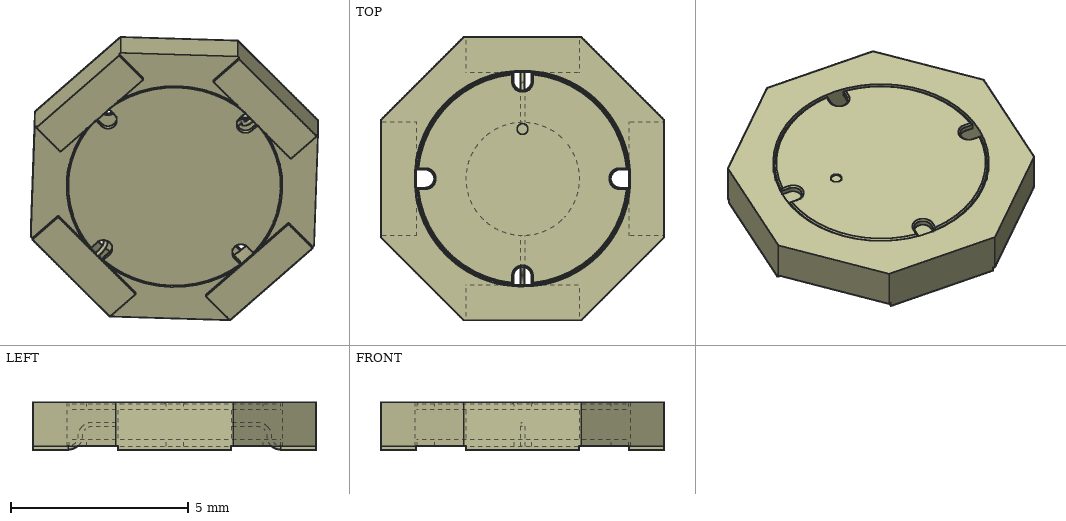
import cadquery as cq
import math

width = 8.0
height = 1.35

side_count = 8
bore_diameter = 6.1
pad_length = 1.0
pad_width = 3.2
pad_thickness = 0.11

flange_diameter = 6.0
flange_thickness = 0.2
post_diameter = 3.2
rim_chamfer = 0.05
slot_width = 0.5
slot_inner_reach = 2.5
dot_diameter = 0.3
dot_offset = 1.4
dot_depth = 0.05

wire_diameter = 0.12
wire_bottom = 0.01

main_side_angles = (0, 90, 180, 270)
wire_angles = (90, 270)
pad_inner_edge = width / 2 - pad_length
body_height = height - pad_thickness
wire_low = wire_bottom + wire_diameter / 2
wire_high = pad_thickness + body_height / 2
wire_bend = (wire_high - wire_low) / 2


def turn(part, angle):
    """Turn a part about the Z axis."""
    return part.rotate((0, 0, 0), (0, 0, 1), angle)


def make_disc(diameter, thickness, bottom):
    """Plain disc on the Z axis with its lower face at the given level."""
    return cq.Workplane("XY").workplane(offset=bottom).circle(diameter / 2).extrude(thickness)


def make_pad(angle):
    """Flat terminal under one main side of the octagon, its outer face flush with that side."""
    pad = cq.Workplane("XY").box(pad_length, pad_width, pad_thickness, centered=(False, True, False))
    return turn(pad.translate((pad_inner_edge, 0, 0)), angle)


def make_ring():
    """Octagonal shield with a round bore, standing on four terminal pads."""
    half_step = 180 / side_count
    corner_diameter = width / math.cos(math.radians(half_step))
    octagon = (
        cq.Workplane("XY")
        .workplane(offset=pad_thickness)
        .polygon(side_count, corner_diameter)
        .extrude(body_height)
    )
    ring = turn(octagon, half_step)
    ring = ring.cut(make_disc(bore_diameter, body_height, pad_thickness))
    for angle in main_side_angles:
        ring = ring.union(make_pad(angle))
    return ring.clean()


def make_slot(angle):
    """Cutter for a round-ended slot that opens at the flange rim and runs the full height."""
    radius = slot_width / 2
    arc_center = slot_inner_reach + radius
    mouth = bore_diameter / 2
    slot = (
        cq.Workplane("XY")
        .moveTo(mouth, -radius)
        .lineTo(arc_center, -radius)
        .threePointArc((slot_inner_reach, 0), (arc_center, radius))
        .lineTo(mouth, radius)
        .close()
        .extrude(height)
    )
    return turn(slot, angle)


def make_wire(angle):
    """Round wire that leaves the post level, bends down through a slot and ends at a pad."""
    arc_middle = wire_bend * math.sqrt(0.5)
    upright = pad_inner_edge - wire_bend
    middle = wire_low + wire_bend
    bend_top = upright - wire_bend
    rooted_end = post_diameter / 2 - wire_diameter
    path = (
        cq.Workplane("XZ")
        .moveTo(pad_inner_edge, wire_low)
        .threePointArc((pad_inner_edge - arc_middle, middle - arc_middle), (upright, middle))
        .threePointArc((bend_top + arc_middle, middle + arc_middle), (bend_top, wire_high))
        .lineTo(rooted_end, wire_high)
    )
    wire = (
        cq.Workplane("YZ", origin=(pad_inner_edge, 0, wire_low))
        .circle(wire_diameter / 2)
        .sweep(path)
    )
    return turn(wire, angle)


def make_drum():
    """Core with two slotted flanges on a post, an index dot on top and two wire ends."""
    drum = make_disc(post_diameter, body_height, pad_thickness)
    for flange_bottom in (pad_thickness, height - flange_thickness):
        drum = drum.union(make_disc(flange_diameter, flange_thickness, flange_bottom))
    for angle in main_side_angles:
        drum = drum.cut(make_slot(angle))

    drum = drum.faces(">Z").chamfer(rim_chamfer)

    dot = make_disc(dot_diameter, dot_depth, height - dot_depth)
    drum = drum.cut(dot.translate((0, dot_offset, 0)))

    for angle in wire_angles:
        drum = drum.union(make_wire(angle))
    return drum


ring = make_ring()
drum = make_drum()
result = cq.Compound.makeCompound([ring.solids().val(), drum.solids().val()])